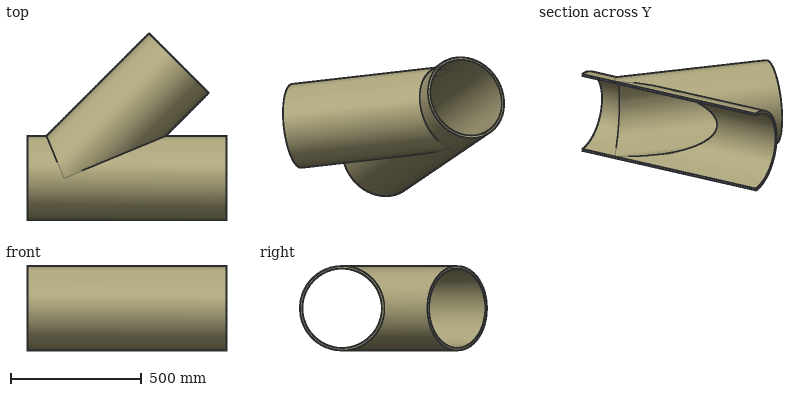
import cadquery as cq

outer_diameter = 323.85
bore_diameter = 303.23
run_length = 762.0
branch_length = 622.3
branch_angle = 45.0

run_start = branch_length - run_length


def run_cylinder(diameter):
    """Cylinder along the full length of the run."""
    return cq.Workplane("YZ", origin=(run_start, 0, 0)).circle(diameter / 2).extrude(run_length)


def branch_cylinder(diameter):
    """Cylinder from the crossing of the axes to the end of the branch."""
    along_x = cq.Workplane("YZ").circle(diameter / 2).extrude(branch_length)
    return along_x.rotate((0, 0, 0), (0, 0, 1), branch_angle)


def lateral(diameter):
    """Run and branch cylinders of one diameter joined together."""
    return run_cylinder(diameter).union(branch_cylinder(diameter))


result = lateral(outer_diameter).cut(lateral(bore_diameter))